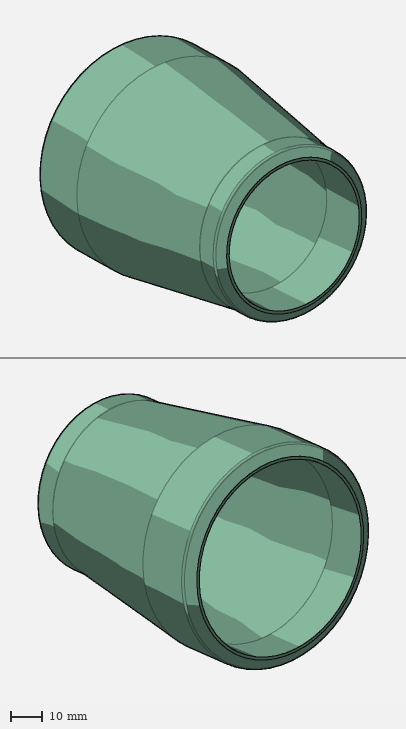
import cadquery as cq
import math

length = 90.0

large_diameter = 76.1
large_wall = 5.0
large_straight = 23.0
large_bore_straight = 15.0

small_diameter = 60.3
small_wall = 4.5
small_straight = 10.0
small_bore_straight = 18.0

bevel_angle = math.radians(30.0)
root_face = 1.0

edge_radius = 1.0

large_radius = large_diameter / 2
small_radius = small_diameter / 2
large_bore_radius = large_radius - large_wall
small_bore_radius = small_radius - small_wall
large_bevel_length = (large_wall - root_face) * math.tan(bevel_angle)
small_bevel_length = (small_wall - root_face) * math.tan(bevel_angle)

large_bevel_root = (0, large_bore_radius + root_face)
large_bevel_edge = (large_bevel_length, large_radius)
taper_start = (large_straight, large_radius)
taper_foot = (length - small_straight, small_radius)
small_bevel_edge = (length - small_bevel_length, small_radius)
small_bevel_root = (length, small_bore_radius + root_face)


def line_then_arc(profile, previous, corner, following):
    """Draw a line from previous towards corner, then round the corner with a tangent arc."""
    direction_in = (cq.Vector(*corner) - cq.Vector(*previous)).normalized()
    direction_out = (cq.Vector(*following) - cq.Vector(*corner)).normalized()
    turn = direction_in.getAngle(direction_out)
    tangent_length = edge_radius * math.tan(turn / 2)
    arc_start = cq.Vector(*corner) - direction_in * tangent_length
    arc_end = cq.Vector(*corner) + direction_out * tangent_length
    return profile.lineTo(arc_start.x, arc_start.y).tangentArcPoint((arc_end.x, arc_end.y), relative=False)


def wall_profile():
    """Closed half section of the wall, with radius along Z and the part axis on X."""
    profile = cq.Workplane("XZ").moveTo(0, large_bore_radius)

    profile = profile.lineTo(*large_bevel_root)
    profile = line_then_arc(profile, large_bevel_root, large_bevel_edge, taper_start)
    profile = profile.lineTo(*taper_start)
    profile = line_then_arc(profile, taper_start, taper_foot, small_bevel_edge)
    profile = line_then_arc(profile, taper_foot, small_bevel_edge, small_bevel_root)
    profile = profile.lineTo(*small_bevel_root)

    profile = profile.lineTo(length, small_bore_radius)
    profile = profile.lineTo(length - small_bore_straight, small_bore_radius)
    profile = profile.lineTo(large_bore_straight, large_bore_radius)
    return profile.close()


axis_start = (0, 0, 0)
axis_end = (1, 0, 0)
result = wall_profile().revolve(360, axis_start, axis_end)